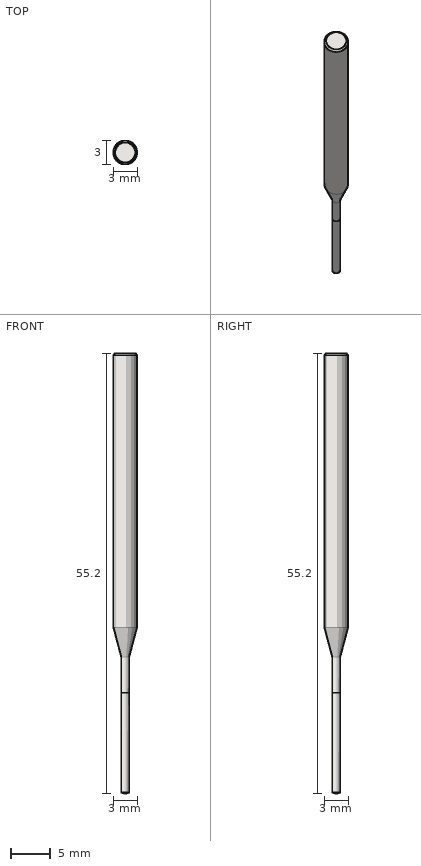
import cadquery as cq
import math

SHANK_DIAMETER = 3.0
DRILL_DIAMETER = 1.04
POINT_ANGLE = 140.0
TAPER_HALF_ANGLE = 15.0

CUTTING_LENGTH = 12.5
REACH_LENGTH = 17.0
BODY_LENGTH = 55.0

CHAMFER_WIDTH = 0.25
CHAMFER_HEIGHT = 0.25

shank_radius = SHANK_DIAMETER / 2
drill_radius = DRILL_DIAMETER / 2
point_height = drill_radius / math.tan(math.radians(POINT_ANGLE / 2))
taper_height = (shank_radius - drill_radius) / math.tan(math.radians(TAPER_HALF_ANGLE))

cutting_top = point_height + CUTTING_LENGTH
taper_bottom = point_height + REACH_LENGTH
taper_top = taper_bottom + taper_height
shank_top = point_height + BODY_LENGTH


def revolve_about_z(profile):
    """Turn a closed (radius, height) outline on the -Y side into a solid around the Z axis."""
    outline = [(-radius, height) for radius, height in profile]
    return cq.Workplane("YZ").polyline(outline).close().revolve(360, (0, 0, 0), (0, 1, 0))


def make_cutting_part():
    """Cylindrical cutting length with a conical point."""
    return revolve_about_z([
        (0, 0),
        (drill_radius, point_height),
        (drill_radius, cutting_top),
        (0, cutting_top),
    ])


def make_shank():
    """Neck, taper and chamfered shank, standing on the cutting part."""
    return revolve_about_z([
        (0, cutting_top),
        (drill_radius, cutting_top),
        (drill_radius, taper_bottom),
        (shank_radius, taper_top),
        (shank_radius, shank_top - CHAMFER_HEIGHT),
        (shank_radius - CHAMFER_WIDTH, shank_top),
        (0, shank_top),
    ])


cutting_part = make_cutting_part()
shank = make_shank()

result = cq.Compound.makeCompound([cutting_part.val(), shank.val()])